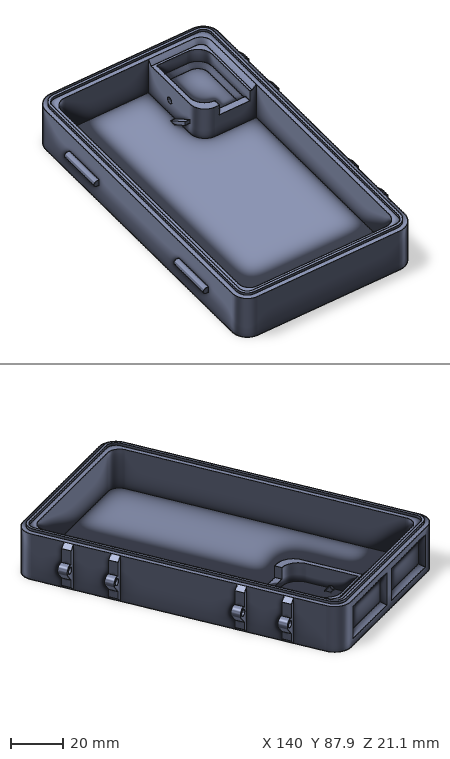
import cadquery as cq
import math

length = 140.0
width = 80.0
height = 20.0
corner_radius = 7.0
slope_angle = 45
wall = 5.0
floor_thickness = 3.0
cavity_radius = 5.0

ridge_inset = 2.0
ridge_width = 1.1
ridge_height = 1.1

block_length = 35.0
block_width = 26.0
block_radius = 7.0
ledge_drop = 2.0

pocket_inset = 3.0
pocket_side_wall = 3.1
pocket_front_wall = 2.0
pocket_radius = 7.0
pocket_floor_z = 10.0
pocket_chamfer = 2.0
notch_floor_z = 13.0
pin_hole_z = 9.7
pin_hole_diameter = 2.8
pin_hole_depth = 4.9
pin_hole_from_cavity = 14.4

rib_length = 10.0
rib_depth = 2.1
rib_thickness = 2.0
rib_top_z = 10.0
rib_rise = 7.0

recess_width = 29.0
recess_height = 14.0
recess_bottom_z = 3.0
recess_gap = 4.0
recess_depth = 2.0

station_x = 37.0
mid_z = 10.0
knuckle_width = 4.0
knuckle_spacing = 20.0
knuckle_offset = 3.1
knuckle_radius = 2.4
knuckle_hole_diameter = 2.8
hinge_plate = 2.0
web_foot_z = 5.2
latch_length = 20.0
latch_diameter = 2.8
latch_stem = 1.0

cavity_length = length - 2 * wall
cavity_width = width - 2 * wall
cavity_left = -cavity_length / 2
cavity_back = cavity_width / 2
block_right = cavity_left + block_length
block_front = cavity_back - block_width
ledge_z = height - ledge_drop


def rounded_prism(x_size, y_size, radius, bottom, top):
    return (
        cq.Workplane("XY", origin=(0, 0, bottom))
        .rect(x_size, y_size)
        .extrude(top - bottom)
        .edges("|Z")
        .fillet(radius)
    )


def box(x_min, x_max, y_min, y_max, z_min, z_max):
    size = (x_max - x_min, y_max - y_min, z_max - z_min)
    return cq.Workplane("XY").box(*size, centered=False).translate((x_min, y_min, z_min))


def inset_prism(inset, bottom, top):
    """Prism whose sides run parallel to the tray's outer walls."""
    return rounded_prism(length - 2 * inset, width - 2 * inset, corner_radius - inset, bottom, top)


def cavity_prism(top):
    return rounded_prism(cavity_length, cavity_width, cavity_radius, floor_thickness, top)


def make_shell():
    ridge = inset_prism(ridge_inset, height, height + ridge_height)
    ridge = ridge.cut(inset_prism(ridge_inset + ridge_width, height, height + ridge_height))
    return inset_prism(0, 0, height).cut(cavity_prism(height)).union(ridge)


def make_ledge_funnel():
    """Space above the block: a 45 degree funnel from the rim down to the ledge."""
    outline = cq.Sketch().rect(cavity_length - 2 * ledge_drop, cavity_width - 2 * ledge_drop)
    outline = outline.vertices().fillet(cavity_radius - ledge_drop)
    return cq.Workplane("XY", origin=(0, 0, ledge_z)).placeSketch(outline).extrude(ledge_drop, taper=-slope_angle)


def make_pocket():
    left = cavity_left + pocket_inset
    back = cavity_back - pocket_inset
    right = block_right - pocket_side_wall
    front = block_front + pocket_front_wall
    pocket = box(left, right, front, back, pocket_floor_z, height)
    pocket = pocket.edges("|Z and ((<X and >Y) or (>X and <Y))").fillet(pocket_radius)
    pocket = pocket.faces("<Z").edges("<X").chamfer(pocket_chamfer)
    notch = box(right, block_right, front + pocket_radius, back, notch_floor_z, height)
    return pocket.union(notch)


def make_pin_hole():
    x = cavity_left + pin_hole_from_cavity
    return (
        cq.Workplane("XZ", origin=(x, block_front, pin_hole_z))
        .circle(pin_hole_diameter / 2)
        .extrude(-pin_hole_depth)
    )


def make_rib():
    right = block_right - block_radius
    left = right - rib_length
    low_z = rib_top_z - rib_rise
    return (
        cq.Workplane("XZ", origin=(0, block_front, 0))
        .moveTo(left, low_z)
        .lineTo(right, rib_top_z)
        .lineTo(right, rib_top_z - rib_thickness)
        .lineTo(left, low_z - rib_thickness)
        .close()
        .extrude(rib_depth)
    )


def make_block():
    block = box(-length / 2, block_right, block_front, width / 2, floor_thickness, height)
    block = block.edges("|Z and >X and <Y").fillet(block_radius)
    block = block.intersect(cavity_prism(height))
    return block.cut(make_ledge_funnel()).cut(make_pocket()).union(make_rib()).cut(make_pin_hole())


def make_recess(centre_y):
    centre_z = recess_bottom_z + recess_height / 2
    return (
        cq.Workplane("YZ", origin=(-length / 2, centre_y, centre_z))
        .rect(recess_width, recess_height)
        .extrude(recess_depth, taper=slope_angle)
    )


def make_knuckle(centre_x):
    face_y = width / 2
    pin_y = face_y + knuckle_offset
    plate_y = face_y + hinge_plate
    plane = cq.Workplane("YZ", origin=(centre_x - knuckle_width / 2, 0, 0))
    plate = (
        plane.moveTo(face_y - wall / 2, 0)
        .lineTo(face_y, 0)
        .lineTo(plate_y, hinge_plate)
        .lineTo(plate_y, height - hinge_plate)
        .lineTo(face_y, height)
        .lineTo(face_y - wall / 2, height)
        .close()
        .extrude(knuckle_width)
    )
    foot_y = plate_y - pin_y
    foot_z = web_foot_z - mid_z
    foot_angle = math.atan2(foot_z, foot_y)
    tangent_angle = foot_angle + math.acos(knuckle_radius / math.hypot(foot_y, foot_z))
    web = (
        plane.moveTo(plate_y, web_foot_z)
        .lineTo(
            pin_y + knuckle_radius * math.cos(tangent_angle),
            mid_z + knuckle_radius * math.sin(tangent_angle),
        )
        .lineTo(pin_y, mid_z)
        .lineTo(plate_y, mid_z)
        .close()
        .extrude(knuckle_width)
    )
    barrel = plane.center(pin_y, mid_z).circle(knuckle_radius).extrude(knuckle_width)
    bore = plane.center(pin_y, mid_z).circle(knuckle_hole_diameter / 2).extrude(knuckle_width)
    return plate.union(web).union(barrel).cut(bore)


def make_latch(centre_x):
    radius = latch_diameter / 2
    face_y = -width / 2
    return (
        cq.Workplane("YZ", origin=(centre_x - latch_length / 2, 0, 0))
        .moveTo(face_y, mid_z + radius)
        .lineTo(face_y - latch_stem, mid_z + radius)
        .threePointArc((face_y - latch_stem - radius, mid_z), (face_y - latch_stem, mid_z - radius))
        .lineTo(face_y, mid_z - radius)
        .close()
        .extrude(latch_length)
    )


result = make_shell().union(make_block())
for side in (-1, 1):
    result = result.cut(make_recess(side * (recess_gap + recess_width) / 2))
    result = result.union(make_latch(side * station_x))
    for knuckle_side in (-1, 1):
        result = result.union(make_knuckle(side * station_x + knuckle_side * knuckle_spacing / 2))